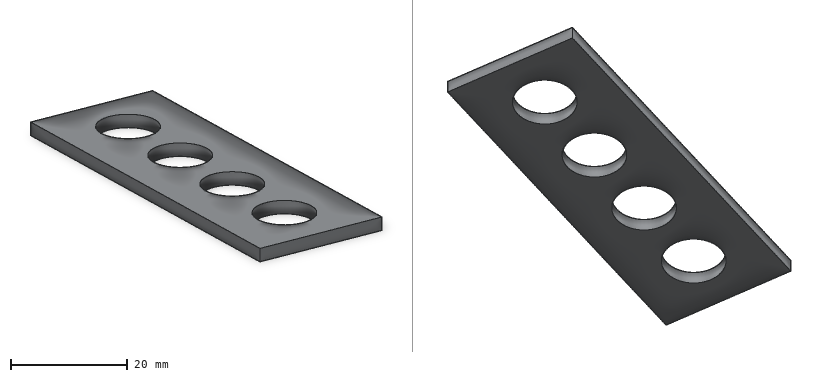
import cadquery as cq

plate_length = 69.85
plate_width = 25.4
plate_thickness = 2.5

hole_count = 4
hole_diameter = 11.11
hole_spacing = 15.875


def make_plate():
    """Plain plate centred on the origin."""
    return cq.Workplane("XY").box(plate_length, plate_width, plate_thickness)


def drill_hole_row(plate):
    """Evenly spaced through holes along the plate's long centreline."""
    return (
        plate.faces(">Z")
        .workplane()
        .rarray(hole_spacing, plate_width, hole_count, 1)
        .hole(hole_diameter)
    )


result = drill_hole_row(make_plate())